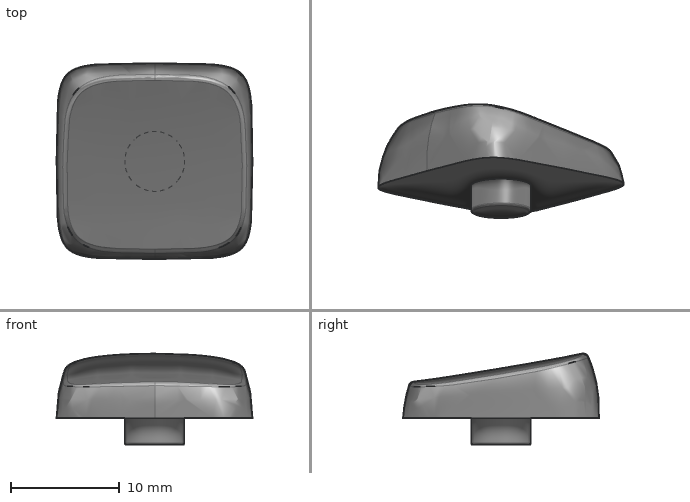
import cadquery as cq
import math

base_width = 18.0
tilt = 9.5
crown_height = 4.62
crown_radius = 60.0
hollow_radius = 400.0
edge_fillet = 0.5

base_side_radius = 80.0
base_corner_radius = 2.6

mid_height = 2.6
mid_width = 17.5
mid_depth = 17.55
mid_side_radius = 70.0
mid_corner_radius = 3.2

blank_height = 5.2
blank_width = 15.6
blank_depth = 15.9
blank_shift = -0.3
blank_side_radius = 30.0
blank_corner_radius = 4.6

stem_diameter = 5.5
stem_length = 2.45
stem_edge_fillet = 0.2

trim_width = 2 * base_width
trim_height = 5.0


def arc_point(center, radius, angle):
    """Point of an arc at an angle measured from +X."""
    return center[0] + radius * math.cos(angle), center[1] + radius * math.sin(angle)


def quarter_outline(half_width, side_radius, corner_radius):
    """Points from the middle of the +X side to the middle of the +Y side of a bowed square."""
    side_center = half_width - side_radius
    spread = math.sqrt(2 * (side_radius - corner_radius) ** 2 - side_center**2)
    corner_center = (side_center + spread) / 2
    blend = math.atan2(corner_center, corner_center - side_center)

    x_side = [arc_point((side_center, 0), side_radius, angle) for angle in (0, blend / 2, blend)]
    corner = arc_point((corner_center, corner_center), corner_radius, math.pi / 4)
    y_side = [(y, x) for x, y in reversed(x_side)]
    return [*x_side, corner, *y_side]


def bowed_square(width, depth, side_radius, corner_radius, place):
    """Closed smooth outline made of a right and a left half that meet at X = 0."""
    stretch = depth / width
    quarter = [(x, y * stretch) for x, y in quarter_outline(width / 2, side_radius, corner_radius)]
    front_quarter = [(x, -y) for x, y in reversed(quarter)]
    right_half = [cq.Vector(*point) for point in front_quarter + quarter[1:]]
    left_half = [cq.Vector(-point.x, point.y) for point in reversed(right_half)]
    to_right = cq.Vector(1, 0)
    to_left = cq.Vector(-1, 0)
    edges = [
        cq.Edge.makeSpline(right_half, tangents=[to_right, to_left]),
        cq.Edge.makeSpline(left_half, tangents=[to_left, to_right]),
    ]
    return cq.Wire.assembleEdges(edges).moved(place)


def tilted(shift_y, height, angle):
    """Place of a section: raised, shifted along Y and turned up at the back."""
    return cq.Location(cq.Vector(0, shift_y, height), cq.Vector(1, 0, 0), angle)


def make_blank():
    """Cap body with its side wall running past the finished top."""
    base_place = tilted(0, 0, 0)
    mid_place = tilted(0, mid_height, tilt * mid_height / blank_height)
    blank_place = tilted(blank_shift, blank_height, tilt)
    sections = [
        bowed_square(base_width, base_width, base_side_radius, base_corner_radius, base_place),
        bowed_square(mid_width, mid_depth, mid_side_radius, mid_corner_radius, mid_place),
        bowed_square(blank_width, blank_depth, blank_side_radius, blank_corner_radius, blank_place),
    ]
    return cq.Workplane(cq.Solid.makeLoft(sections))


def make_top_trim():
    """Everything above the finished top, as a revolved saddle-shaped block."""
    edge_x = trim_width / 2
    edge_drop = crown_radius - math.sqrt(crown_radius**2 - edge_x**2)
    sweep = 2 * math.degrees(math.asin(edge_x / hollow_radius))
    block = (
        cq.Workplane("XZ")
        .moveTo(-edge_x, -edge_drop)
        .threePointArc((0, 0), (edge_x, -edge_drop))
        .lineTo(edge_x, trim_height)
        .lineTo(-edge_x, trim_height)
        .close()
        .revolve(sweep, (-edge_x, hollow_radius), (edge_x, hollow_radius))
    )
    axis_start = (-1, 0, hollow_radius)
    axis_end = (1, 0, hollow_radius)
    centred = block.rotate(axis_start, axis_end, -sweep / 2)
    return centred.rotate((0, 0, 0), (1, 0, 0), tilt).translate((0, 0, crown_height))


def make_cap():
    """Blank trimmed to the finished top, with its rim rounded."""
    cap = make_blank().cut(make_top_trim())
    return cap.faces(">Z").edges().fillet(edge_fillet)


def make_stem():
    """Round post under the cap with a rounded lower edge."""
    return (
        cq.Workplane("XY")
        .circle(stem_diameter / 2)
        .extrude(-stem_length)
        .faces("<Z")
        .edges()
        .fillet(stem_edge_fillet)
    )


result = make_cap().union(make_stem())